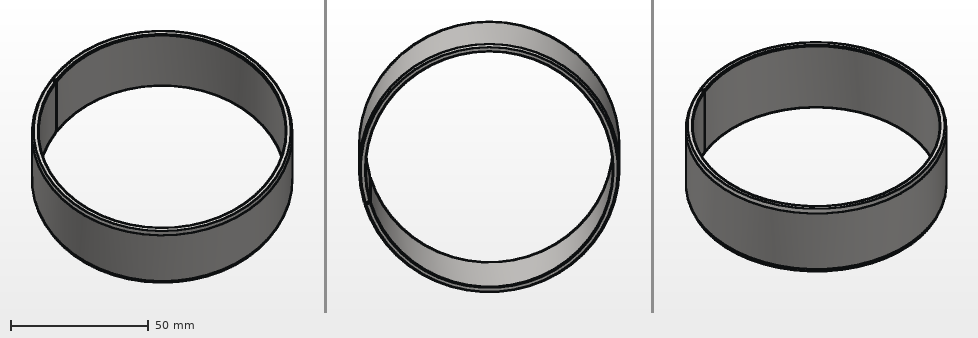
import cadquery as cq

outer_diameter = 95.0
wall = 2.5
height = 30.0
outer_chamfer_height = 1.7
outer_chamfer_width = 0.7
inner_chamfer_height = 0.5
inner_chamfer_width = 0.3
gap_angle = 1.0

outer_radius = outer_diameter / 2
inner_radius = outer_radius - wall
half_height = height / 2


def split_ring():
    """Revolve the wall section about Z from the -X side, leaving a narrow gap just on its +Y side."""
    outer_edge_z = half_height - outer_chamfer_height
    inner_edge_z = half_height - inner_chamfer_height
    rim_outer = outer_radius - outer_chamfer_width
    rim_inner = inner_radius + inner_chamfer_width
    section = [
        (inner_radius, -inner_edge_z),
        (rim_inner, -half_height),
        (rim_outer, -half_height),
        (outer_radius, -outer_edge_z),
        (outer_radius, outer_edge_z),
        (rim_outer, half_height),
        (rim_inner, half_height),
        (inner_radius, inner_edge_z),
    ]
    return (
        cq.Workplane("XZ")
        .polyline(section)
        .close()
        .revolve(360 - gap_angle, (0, 0), (0, 1))
        .rotate((0, 0, 0), (0, 0, 1), 180)
    )


result = split_ring()